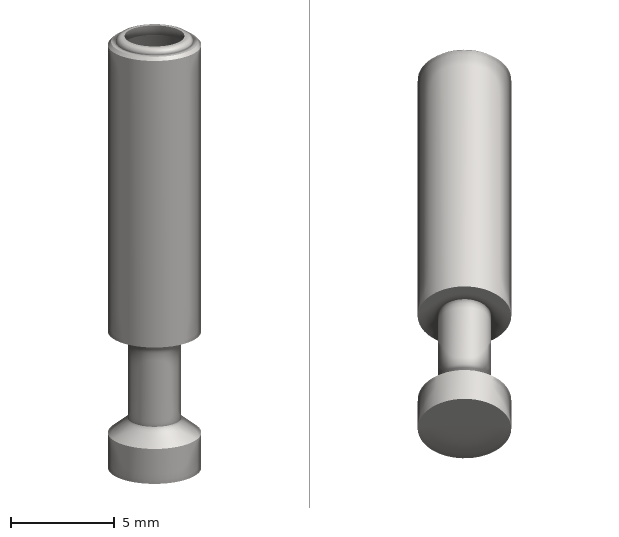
import cadquery as cq
import math

length = 22.2
outer_diameter = 4.5
outer_radius = outer_diameter / 2

neck_radius = 1.29
foot_height = 1.8
foot_cone_top = 2.58
barrel_bottom = 7.02

lip_height = 0.29
lip_base_radius = 1.86
edge_chamfer = 0.15

mouth_radius = 1.45
bore_radius = 1.58
mouth_depth = 0.53
bore_depth = 1.5
seat_radius = 1.2
seat_depth = 2.66
drill_point_angle = 114.0

shoulder_z = length - lip_height
lip_top_radius = lip_base_radius - lip_height


def make_body():
    """Revolve the solid outer outline; the lip is a quarter-round roll."""
    arc_offset = lip_height * math.sqrt(0.5)
    arc_middle = (lip_top_radius + arc_offset, shoulder_z + arc_offset)
    outline = (
        cq.Workplane("XZ")
        .lineTo(outer_radius, 0)
        .lineTo(outer_radius, foot_height)
        .lineTo(neck_radius, foot_cone_top)
        .lineTo(neck_radius, barrel_bottom)
        .lineTo(outer_radius, barrel_bottom)
        .lineTo(outer_radius, shoulder_z - edge_chamfer)
        .lineTo(outer_radius - edge_chamfer, shoulder_z)
        .lineTo(lip_base_radius, shoulder_z)
        .threePointArc(arc_middle, (lip_top_radius, length))
        .lineTo(0, length)
        .close()
    )
    return outline.revolve(360, (0, 0, 0), (0, 1, 0))


def make_bore():
    """Revolve the undercut blind bore and its two-step conical bottom."""
    point_depth = seat_radius / math.tan(math.radians(drill_point_angle / 2))
    outline = (
        cq.Workplane("XZ")
        .moveTo(0, length)
        .lineTo(mouth_radius, length)
        .lineTo(bore_radius, length - mouth_depth)
        .lineTo(bore_radius, length - bore_depth)
        .lineTo(seat_radius, length - seat_depth)
        .lineTo(0, length - seat_depth - point_depth)
        .close()
    )
    return outline.revolve(360, (0, 0, 0), (0, 1, 0))


result = make_body().cut(make_bore())